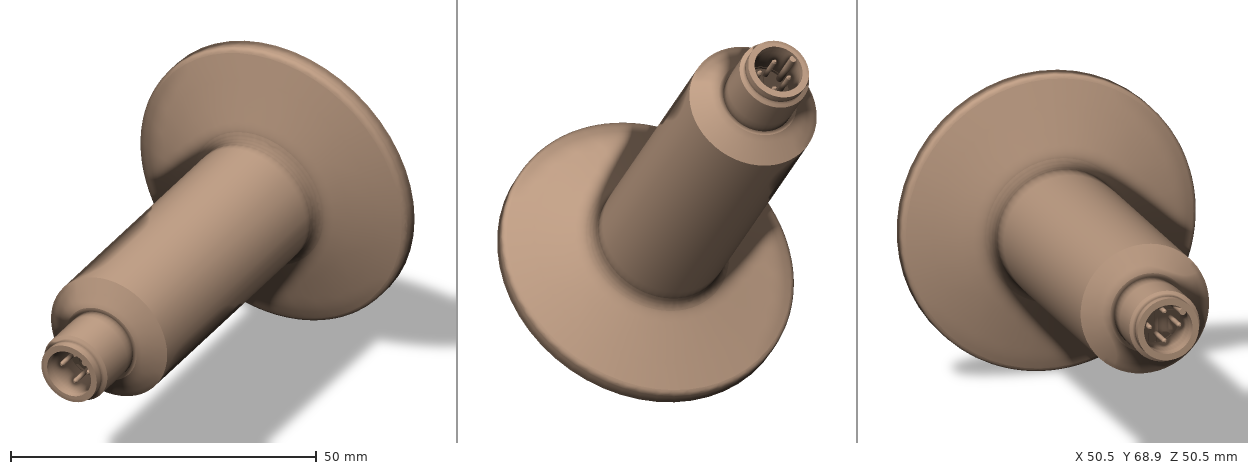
import cadquery as cq
import math

total_length = 68.9
flange_radius = 50.5 / 2
flange_edge_length = 2.82
flange_edge_fillet = 1.0
flange_cone_angle = 20
body_radius = 22 / 2
body_root_fillet = 2.0
body_end = 55.9
shoulder_end = 58.45
shoulder_end_radius = 13.4 / 2
collar_radius = 12 / 2
collar_chamfer_length = 0.6
nose_radius = 10.5 / 2
nose_length = 1.55

socket_radius = 8.3 / 2
socket_depth = 7.0
relief_depth = 0.5
rib_height = 0.3

pin_radius = 0.8 / 2
pin_tip_radius = 0.4 / 2
pin_tip_length = 0.4
pin_circle_radius = 2.5
pin_count = 4
pin_setback = 1.75

key_radius = 0.55
key_circle_radius = 3.75
key_angle = 45
key_setback = 0.5

arm_half_width = 1.17
arm_top = 3.5
arm_corner_fillet = 0.5
crossbar_top = 1.2
crossbar_bottom = -2.4
crossbar_corner_x = 1.9
crossbar_slope = 32
relief_radius = 4.05
middle_rib_width = 0.65
side_rib_width = 0.75
side_rib_x = 2.45
side_rib_bottom = -2.05
notch_width = 0.4
notch_top = -3.4

nose_y = -total_length
floor_y = nose_y + socket_depth


def fillet_circle_at(body, y, radius):
    """Round the circular edge whose centre lies on the axis at height y."""
    nearest = cq.selectors.NearestToPointSelector((0, y, 0))
    return body.edges("%CIRCLE").edges(nearest).fillet(radius)


def turned_body():
    cone_rise = (flange_radius - body_radius) * math.tan(math.radians(flange_cone_angle))
    cone_end = flange_edge_length + cone_rise
    nose_start = total_length - nose_length
    outline = [
        (0, 0),
        (flange_radius, 0),
        (flange_radius, -flange_edge_length),
        (body_radius, -cone_end),
        (body_radius, -body_end),
        (shoulder_end_radius, -shoulder_end),
        (collar_radius, -shoulder_end),
        (collar_radius, -(nose_start - collar_chamfer_length)),
        (nose_radius, -nose_start),
        (nose_radius, -total_length),
        (0, -total_length),
    ]
    body = cq.Workplane("XY").polyline(outline).close().revolve(360, (0, 0, 0), (0, 1, 0))
    body = fillet_circle_at(body, -flange_edge_length, flange_edge_fillet)
    return fillet_circle_at(body, -cone_end, body_root_fillet)


def box_on_floor(x_min, x_max, z_min, z_max, y, depth):
    return (
        cq.Workplane("XZ", origin=((x_min + x_max) / 2, y, (z_min + z_max) / 2))
        .rect(x_max - x_min, z_max - z_min)
        .extrude(-depth)
    )


def floor_relief():
    """Pockets above and below the crossbar, plus the notch at the foot of the upright arm."""
    disc = cq.Workplane("XZ", origin=(0, floor_y, 0)).circle(relief_radius).extrude(-relief_depth)
    reach = 2 * relief_radius

    upper = box_on_floor(-reach, reach, crossbar_top, reach, floor_y, relief_depth)
    arm = box_on_floor(-arm_half_width, arm_half_width, 0, arm_top, floor_y, relief_depth)
    arm = arm.edges("|Y and >Z").fillet(arm_corner_fillet)
    pockets = upper.cut(arm)

    slope_drop = (reach - crossbar_corner_x) * math.tan(math.radians(crossbar_slope))
    lower_left = (
        cq.Workplane("XZ", origin=(0, floor_y, 0))
        .polyline([
            (-arm_half_width, crossbar_bottom),
            (-crossbar_corner_x, crossbar_bottom),
            (-reach, crossbar_bottom - slope_drop),
            (-arm_half_width, crossbar_bottom - slope_drop),
        ])
        .close()
        .extrude(-relief_depth)
    )
    pockets = pockets.union(lower_left).union(lower_left.mirror("YZ"))
    notch = box_on_floor(-notch_width / 2, notch_width / 2, -reach, notch_top, floor_y, relief_depth)
    return pockets.union(notch).intersect(disc)


def floor_ribs():
    """Low ribs: one joining the top and bottom pins, and one hanging below each side pin."""
    rib_y = floor_y - rib_height
    half = middle_rib_width / 2
    ribs = box_on_floor(-half, half, -pin_circle_radius, pin_circle_radius, rib_y, rib_height)
    half = side_rib_width / 2
    for x in (-side_rib_x, side_rib_x):
        ribs = ribs.union(box_on_floor(x - half, x + half, side_rib_bottom, 0, rib_y, rib_height))
    return ribs


def contact_pin(angle):
    tip_y = nose_y + pin_setback
    x = pin_circle_radius * math.cos(math.radians(angle))
    z = pin_circle_radius * math.sin(math.radians(angle))
    pin_length = floor_y + relief_depth - tip_y
    pin = cq.Workplane("XZ", origin=(x, tip_y, z)).circle(pin_radius).extrude(-pin_length)
    return pin.faces("<Y").edges().chamfer(pin_tip_length, pin_radius - pin_tip_radius)


def coding_key():
    top_y = nose_y + key_setback
    x = key_circle_radius * math.cos(math.radians(key_angle))
    z = key_circle_radius * math.sin(math.radians(key_angle))
    key_length = floor_y + relief_depth - top_y
    return cq.Workplane("XZ", origin=(x, top_y, z)).circle(key_radius).extrude(-key_length)


socket = cq.Workplane("XZ", origin=(0, nose_y, 0)).circle(socket_radius).extrude(-socket_depth)
result = turned_body().cut(socket).cut(floor_relief()).union(floor_ribs()).union(coding_key())
for index in range(pin_count):
    result = result.union(contact_pin(index * 360 / pin_count))